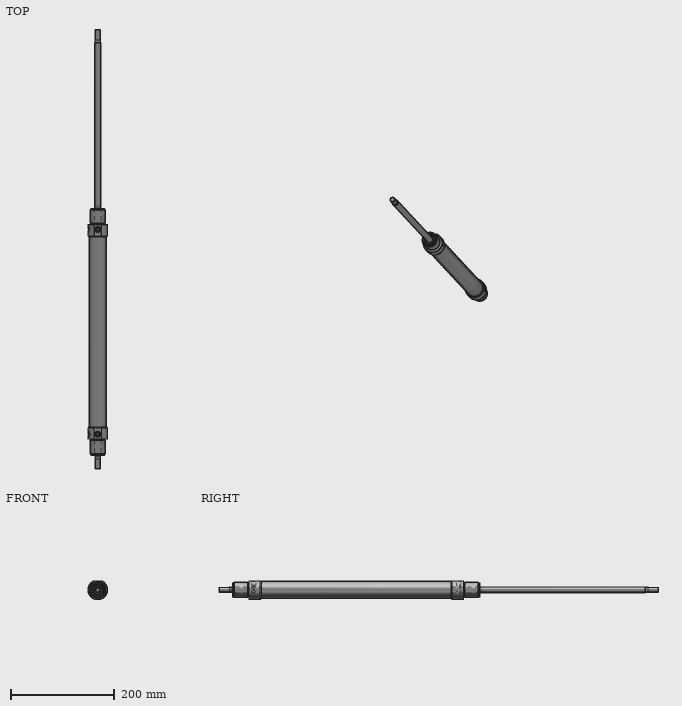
import cadquery as cq

stroke = 320.0

barrel_diameter = 33.6
barrel_length = 368.0

collar_diameter = 38.0
collar_length = 24.0
collar_inner_chamfer = 2.0
collar_outer_chamfer = 0.5
flat_height = 17.5

neck_length = 31.5
neck_diameter = 30.0
relief_diameter = 28.0
relief_length = 2.0
nose_diameter = 27.0
nose_length = 1.5
nose_cone_length = 2.0

outer_recess_diameter = 22.0
outer_recess_depth = 2.0
inner_recess_diameter = 18.0
inner_recess_depth = 4.0

port_offset = 14.5
port_counterbore_diameter = 11.5
port_counterbore_depth = 1.0
port_thread_diameter = 8.57
port_thread_depth = 8.0
port_pilot_diameter = 6.92
port_pilot_depth = 10.0
screw_recess_diameter = 10.0
screw_recess_depth = 3.0
screw_hole_diameter = 3.0
screw_hole_depth = 5.0

rod_diameter = 12.0
step_diameter = 11.0
step_length = 5.7
thread_diameter = 10.0
thread_length = 20.0
thread_chamfer = 1.0
retracted_extension = 6.5

collar_start = barrel_length / 2
neck_start = collar_start + collar_length
head_end = neck_start + neck_length
port_position = collar_start + port_offset


def disc(diameter, start, length):
    """Cylinder on the Y axis from start towards +Y."""
    plane = cq.Workplane("XZ", origin=(0, start, 0))
    return plane.circle(diameter / 2).extrude(-length)


def make_barrel():
    return disc(barrel_diameter, -collar_start, barrel_length)


def make_collar():
    """Round collar, chamfered at both ends and cut flat on the +Z side."""
    collar = disc(collar_diameter, collar_start, collar_length)
    collar = collar.faces("<Y").chamfer(collar_inner_chamfer)
    collar = collar.faces(">Y").chamfer(collar_outer_chamfer)
    above_flat = (
        cq.Workplane("XY", origin=(0, collar_start + collar_length / 2, flat_height))
        .rect(collar_diameter, collar_length)
        .extrude(collar_diameter)
    )
    return collar.cut(above_flat)


def make_neck():
    """Neck from the collar to the end face, tapered into the relief groove and the nose."""
    relief = disc(relief_diameter, neck_start, relief_length)
    main_length = neck_length - relief_length - nose_length
    main = disc(neck_diameter, neck_start + relief_length, main_length)
    main = main.faces("<Y").chamfer((neck_diameter - relief_diameter) / 2)
    main = main.faces(">Y").chamfer(nose_cone_length, (neck_diameter - nose_diameter) / 2)
    nose = disc(nose_diameter, head_end - nose_length, nose_length)
    return relief.union(main).union(nose)


def cut_port(head):
    """Stepped supply port, drilled down from the flat."""
    plane = cq.Workplane("XY", origin=(0, port_position, flat_height))
    for diameter, depth in (
        (port_counterbore_diameter, port_counterbore_depth),
        (port_thread_diameter, port_thread_depth),
        (port_pilot_diameter, port_pilot_depth),
    ):
        head = head.cut(plane.circle(diameter / 2).extrude(-depth))
    return head


def cut_screw_recess(head):
    """Cushioning screw recess with a small hole in its floor, cut inwards from the -X side."""
    plane = cq.Workplane("YZ", origin=(-collar_diameter / 2, port_position, 0))
    head = head.cut(plane.circle(screw_recess_diameter / 2).extrude(screw_recess_depth))
    return head.cut(plane.circle(screw_hole_diameter / 2).extrude(screw_hole_depth))


def cut_rod_bore(head):
    """Through bore for the rod and the stepped recess around it in the end face."""
    head = head.cut(disc(outer_recess_diameter, head_end - outer_recess_depth, outer_recess_depth))
    head = head.cut(disc(inner_recess_diameter, head_end - inner_recess_depth, inner_recess_depth))
    return head.cut(disc(rod_diameter, collar_start, head_end - collar_start))


def make_head():
    """Head at the +Y end of the barrel."""
    head = make_collar().union(make_neck())
    head = cut_port(head)
    head = cut_screw_recess(head)
    return cut_rod_bore(head)


def make_rod(extension):
    """Rod from the +Y end of the barrel; its thread shoulder stands out of the head by extension."""
    shoulder = head_end + extension
    shaft_end = shoulder - step_length
    shaft = disc(rod_diameter, collar_start, shaft_end - collar_start)
    shaft = shaft.faces(">Y").chamfer((rod_diameter - step_diameter) / 2)
    step = disc(step_diameter, shaft_end, step_length)
    thread = disc(thread_diameter, shoulder, thread_length)
    thread = thread.faces(">Y").chamfer(thread_chamfer)
    return shaft.union(step).union(thread)


barrel = make_barrel()
heads = []
rods = []
for mirrored, extension in ((False, retracted_extension + stroke), (True, retracted_extension)):
    head = make_head()
    rod = make_rod(extension)
    if mirrored:
        head = head.mirror("XZ")
        rod = rod.mirror("XZ")
    heads.append(head.solids().val())
    rods.append(rod.solids().val())

result = cq.Compound.makeCompound([barrel.val(), *heads, *rods])